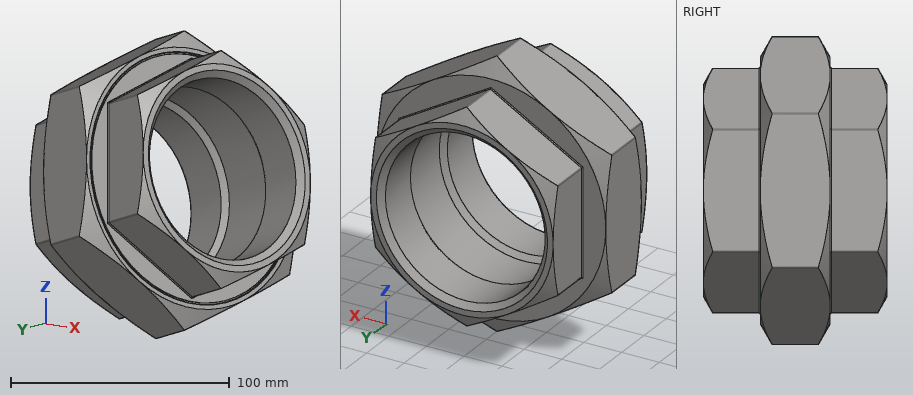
import cadquery as cq
import math

CORNER_FACTOR = 1 / math.cos(math.radians(30))

length = 84.0
nut_width = 32.0
nut_corner_span = 140.8
end_flats = 97.0
edge_round = 0.5
flare = edge_round
chamfer_angle = math.radians(30)

bore_diameter = 84.9
mouth_diameter = 91.0
mouth_depth = (mouth_diameter - bore_diameter) / 2

recess_diameter = 90.2
recess_width = 33.1
recess_bevel = (recess_diameter - bore_diameter) / 2

collar_diameter = 116.0
clearance_diameter = 117.4
clearance_rim_diameter = 118.0
clearance_depth = 0.4

nut_flats = nut_corner_span / CORNER_FACTOR + 2 * edge_round * (1 - 1 / CORNER_FACTOR)


def cross_plane(y, direction):
    """Sketch plane across the axis, first sketch axis up so that polygons have a corner at the top."""
    return cq.Workplane(cq.Plane(origin=(0, y, 0), xDir=(0, 0, 1), normal=(0, direction, 0)))


def revolve_about_y(points):
    """Solid of revolution from (radius, y) points."""
    return cq.Workplane("XY").polyline(points).close().revolve(360, (0, 0, 0), (0, 1, 0))


def chamfered_hexagon(flats, width):
    """Hexagon prism centred on the origin, corners at +Z and -Z, both ends chamfered to the flats."""
    prism = (
        cross_plane(-width / 2, 1)
        .polygon(6, flats * CORNER_FACTOR)
        .extrude(width)
        .edges("|Y")
        .fillet(edge_round)
    )
    flat_radius = flats / 2
    corner_radius = flat_radius * CORNER_FACTOR
    drop = (corner_radius - flat_radius) * math.tan(chamfer_angle)
    envelope = revolve_about_y([
        (0, -width / 2),
        (flat_radius, -width / 2),
        (corner_radius, -width / 2 + drop),
        (corner_radius, width / 2 - drop),
        (flat_radius, width / 2),
        (0, width / 2),
    ])
    return prism.intersect(envelope)


def base_flare(side):
    """Small sloped skirt where an end hexagon leaves the nut face; side is -1 (front) or 1 (back)."""
    base_y = side * nut_width / 2
    base_flats = end_flats + 2 * flare
    return (
        cross_plane(base_y, side)
        .polygon(6, base_flats * CORNER_FACTOR)
        .workplane(offset=flare)
        .polygon(6, end_flats * CORNER_FACTOR)
        .loft(ruled=True)
    )


def clearance_groove():
    """Shallow ring on the front nut face between the collar and the nut, with a bevelled outer rim."""
    face_y = -nut_width / 2
    rim_bevel = (clearance_rim_diameter - clearance_diameter) / 2
    return revolve_about_y([
        (collar_diameter / 2, face_y),
        (clearance_rim_diameter / 2, face_y),
        (clearance_diameter / 2, face_y + rim_bevel),
        (clearance_diameter / 2, face_y + clearance_depth),
        (collar_diameter / 2, face_y + clearance_depth),
    ])


def bore():
    """Through bore with bevelled mouths and a wider middle recess with bevelled ends."""
    bore_radius = bore_diameter / 2
    mouth_radius = mouth_diameter / 2
    recess_radius = recess_diameter / 2
    end_y = length / 2
    recess_end_y = recess_width / 2
    return revolve_about_y([
        (0, -end_y),
        (mouth_radius, -end_y),
        (bore_radius, -end_y + mouth_depth),
        (bore_radius, -recess_end_y),
        (recess_radius, -recess_end_y + recess_bevel),
        (recess_radius, recess_end_y - recess_bevel),
        (bore_radius, recess_end_y),
        (bore_radius, end_y - mouth_depth),
        (mouth_radius, end_y),
        (0, end_y),
    ])


body = chamfered_hexagon(end_flats, length).union(chamfered_hexagon(nut_flats, nut_width))
for side in (-1, 1):
    body = body.union(base_flare(side))

result = body.cut(clearance_groove()).cut(bore())